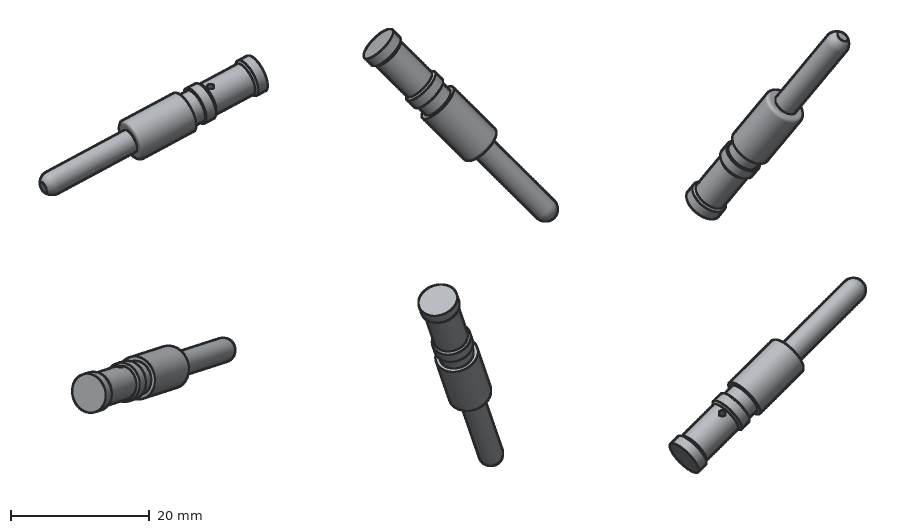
import cadquery as cq
import math

total_length = 37.6

collar_diameter = 5.75
neck_diameter = 5.05
body_diameter = 6.3
pin_diameter = 3.6
tip_flat_diameter = 1.8

collar_straight = 1.65
middle_collar_front = 10.8
body_rear = 12.8
body_front = 22.3

body_edge_radius = 0.5

hole_diameter = 1.0
hole_from_rear = 8.1

collar_radius = collar_diameter / 2
neck_radius = neck_diameter / 2
body_radius = body_diameter / 2
pin_radius = pin_diameter / 2
tip_flat_radius = tip_flat_diameter / 2
collar_bevel = collar_radius - neck_radius
middle_collar_rear = middle_collar_front - collar_straight

tip_length = math.sqrt(pin_radius**2 - tip_flat_radius**2)
tip_center_y = tip_length - total_length
tip_mid_angle = math.asin(tip_length / pin_radius) / 2


def make_turned_body():
    """Revolve the half profile (x = radius) about the Y axis."""
    edge_diagonal = body_edge_radius * math.sqrt(0.5)
    edge_center_x = body_radius - body_edge_radius
    edge_center_y = body_edge_radius - body_front
    edge_mid = (edge_center_x + edge_diagonal, edge_center_y - edge_diagonal)
    tip_mid = (
        pin_radius * math.cos(tip_mid_angle),
        tip_center_y - pin_radius * math.sin(tip_mid_angle),
    )
    profile = (
        cq.Workplane("XY")
        .moveTo(0, 0)
        .lineTo(collar_radius, 0)
        .lineTo(collar_radius, -collar_straight)
        .lineTo(neck_radius, -collar_straight - collar_bevel)
        .lineTo(neck_radius, -middle_collar_rear + collar_bevel)
        .lineTo(collar_radius, -middle_collar_rear)
        .lineTo(collar_radius, -middle_collar_front)
        .lineTo(neck_radius, -middle_collar_front)
        .lineTo(neck_radius, -body_rear)
        .lineTo(body_radius, -body_rear)
        .lineTo(body_radius, edge_center_y)
        .threePointArc(edge_mid, (edge_center_x, -body_front))
        .lineTo(pin_radius, -body_front)
        .lineTo(pin_radius, tip_center_y)
        .threePointArc(tip_mid, (tip_flat_radius, -total_length))
        .lineTo(0, -total_length)
        .close()
    )
    return profile.revolve(360, (0, 0, 0), (0, 1, 0))


def make_inspection_hole():
    """Blind hole drilled down from the top of the neck to the axis."""
    return (
        cq.Workplane("XY")
        .center(0, -hole_from_rear)
        .circle(hole_diameter / 2)
        .extrude(body_radius)
    )


result = make_turned_body().cut(make_inspection_hole())